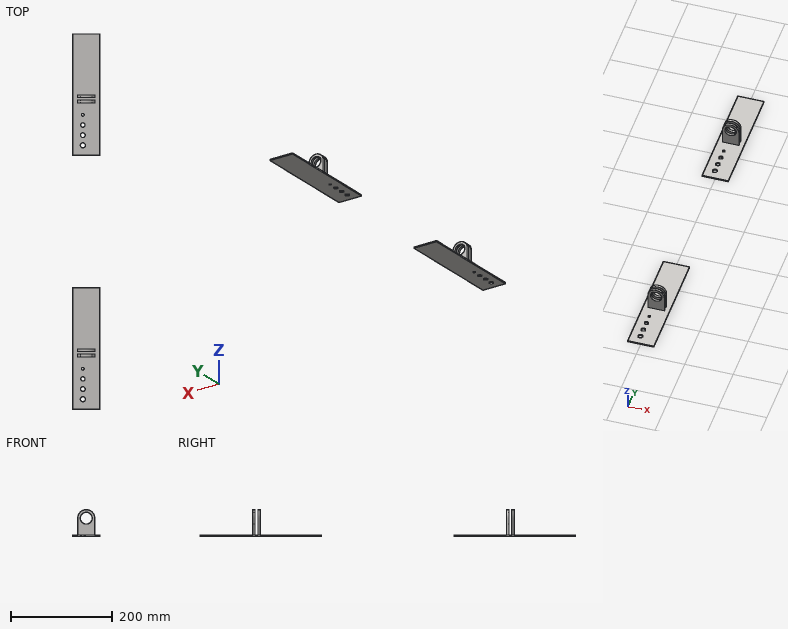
import cadquery as cq

overall_length = 741.0
overall_height = 53.0
bracket_length = 240.0
bracket_pitch = overall_length - bracket_length
bracket_count = 2

strip_width = 54.0
strip_thickness = 3.0

lug_width = 34.0
lug_thickness = 5.0
lug_gap = 5.0
lug_front_y = 104.0
lug_bore_diameter = 23.0
lug_axis_z = overall_height - lug_width / 2

hole_diameters = [10.0, 9.0, 8.0, 5.0]
hole_pitch = 20.0
hole_row_x = -7.0


def make_strip():
    """Flat strip with its front edge at y = 0 and a row of through holes."""
    strip = cq.Workplane("XY").box(
        strip_width, bracket_length, strip_thickness, centered=(True, False, False)
    )
    for number, diameter in enumerate(hole_diameters, start=1):
        cutter = (
            cq.Workplane("XY")
            .center(hole_row_x, number * hole_pitch)
            .circle(diameter / 2)
            .extrude(strip_thickness)
        )
        strip = strip.cut(cutter)
    return strip


def make_lug(front_y):
    """Round-topped upright lug, bored along Y, rising from the strip's underside."""
    half_width = lug_width / 2
    blank = (
        cq.Workplane("XZ", origin=(0, front_y, 0))
        .moveTo(-half_width, 0)
        .lineTo(half_width, 0)
        .lineTo(half_width, lug_axis_z)
        .threePointArc((0, overall_height), (-half_width, lug_axis_z))
        .close()
        .extrude(-lug_thickness)
    )
    bore = (
        cq.Workplane("XZ", origin=(0, front_y, lug_axis_z))
        .circle(lug_bore_diameter / 2)
        .extrude(-lug_thickness)
    )
    return blank.cut(bore)


def make_bracket(front_y):
    """One complete bracket: strip and two lugs joined as a single solid."""
    lug_back_y = lug_front_y + lug_thickness + lug_gap
    bracket = make_strip().union(make_lug(lug_front_y)).union(make_lug(lug_back_y))
    return bracket.translate((0, front_y, 0))


brackets = []
for index in range(bracket_count):
    front_edge_y = -overall_length / 2 + index * bracket_pitch
    brackets.append(make_bracket(front_edge_y).val())

result = cq.Compound.makeCompound(brackets)